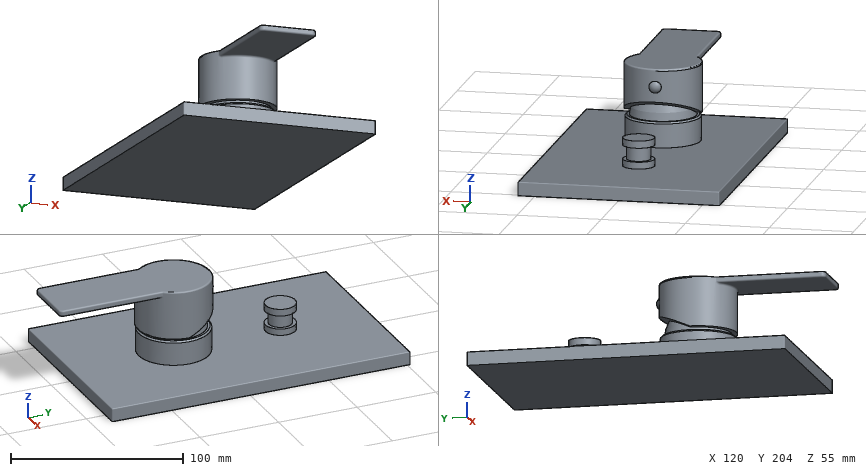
import cadquery as cq

OVERALL_LENGTH = 204.0
OVERALL_HEIGHT = 55.0

PLATE_WIDTH = 120.0
PLATE_LENGTH = 190.0
PLATE_THICKNESS = 8.2
PLATE_EDGE_RADIUS = 0.6

COLLAR_RADIUS = 22.2
COLLAR_TOP = 23.5
COLLAR_CHAMFER = 1.0

DOME_FOOT_RADIUS = 19.8
DOME_BELT_RADIUS = 19.0
DOME_BELT_HEIGHT = 28.2
DOME_TOP_RADIUS = 16.0

KNOB_Y = 68.0
KNOB_RADIUS = 9.4
KNOB_NECK_RADIUS = 7.1
KNOB_BASE_TOP = 12.2
KNOB_CAP_BOTTOM = 20.6
KNOB_TOP = 24.9

HANDLE_RADIUS = 22.8
HANDLE_BOTTOM = 25.3
HANDLE_REAR_BOTTOM = 35.5
HANDLE_EDGE_RADIUS = 1.0
LEVER_WIDTH = 35.0
LEVER_REACH = 80.0
LEVER_THICKNESS = 3.7
LEVER_CORNER_RADIUS = 2.7
LEVER_UNDER_RADIUS = 1.0
LEVER_ROOT_RADIUS = 1.2
SELECT_MARGIN = 0.2

BEAD_RADIUS = 4.0
BEAD_HEIGHT = 44.5
BEAD_PROTRUSION = 2.0

PLATE_REAR_Y = OVERALL_LENGTH - LEVER_REACH


def cylinder(radius, bottom, top, y=0.0):
    return cq.Workplane("XY", origin=(0, y, bottom)).circle(radius).extrude(top - bottom)


def make_plate():
    plate_center_y = PLATE_REAR_Y - PLATE_LENGTH / 2
    plate = (
        cq.Workplane("XY", origin=(0, plate_center_y, 0))
        .rect(PLATE_WIDTH, PLATE_LENGTH)
        .extrude(PLATE_THICKNESS)
    )
    return plate.edges("|Z or >Z").fillet(PLATE_EDGE_RADIUS)


def make_collar():
    collar = cylinder(COLLAR_RADIUS, PLATE_THICKNESS, COLLAR_TOP)
    return collar.faces(">Z").edges().chamfer(COLLAR_CHAMFER)


def make_dome():
    profile = [
        (0, COLLAR_TOP),
        (DOME_FOOT_RADIUS, COLLAR_TOP),
        (DOME_BELT_RADIUS, DOME_BELT_HEIGHT),
        (DOME_TOP_RADIUS, HANDLE_REAR_BOTTOM),
        (0, HANDLE_REAR_BOTTOM),
    ]
    return cq.Workplane("XZ").polyline(profile).close().revolve(360, (0, 0, 0), (0, 1, 0))


def make_knob():
    base = cylinder(KNOB_RADIUS, PLATE_THICKNESS, KNOB_BASE_TOP, KNOB_Y)
    neck = cylinder(KNOB_NECK_RADIUS, KNOB_BASE_TOP, KNOB_CAP_BOTTOM, KNOB_Y)
    cap = cylinder(KNOB_RADIUS, KNOB_CAP_BOTTOM, KNOB_TOP, KNOB_Y)
    return base.union(neck).union(cap)


def make_base():
    """Fixed body: plate with the collar, the dome and the diverter knob on it."""
    return make_plate().union(make_collar()).union(make_dome()).union(make_knob())


def make_lever():
    lever = (
        cq.Workplane("XY", origin=(0, -LEVER_REACH / 2, OVERALL_HEIGHT - LEVER_THICKNESS))
        .rect(LEVER_WIDTH, LEVER_REACH)
        .extrude(LEVER_THICKNESS)
    )
    lever = lever.edges("|Z and <Y").fillet(LEVER_CORNER_RADIUS)
    return lever.faces("<Z").edges("not >Y").fillet(LEVER_UNDER_RADIUS)


def make_rear_relief():
    """Wedge under the rear half of the drum that lets the handle tilt."""
    slope = (HANDLE_REAR_BOTTOM - HANDLE_BOTTOM) / HANDLE_RADIUS
    wedge_length = 2 * HANDLE_RADIUS
    wedge = [
        (0, HANDLE_BOTTOM),
        (wedge_length, HANDLE_BOTTOM),
        (wedge_length, HANDLE_BOTTOM + slope * wedge_length),
    ]
    return cq.Workplane("YZ").polyline(wedge).close().extrude(wedge_length, both=True)


def make_bead():
    bead_center_y = HANDLE_RADIUS + BEAD_PROTRUSION - BEAD_RADIUS
    return cq.Workplane("XY", origin=(0, bead_center_y, BEAD_HEIGHT)).sphere(BEAD_RADIUS)


def lever_root_selector():
    """Edges where the lever's sides and underside run into the drum."""
    root_inner = (-LEVER_WIDTH, -HANDLE_RADIUS / 2, OVERALL_HEIGHT - SELECT_MARGIN)
    root_outer = (
        LEVER_WIDTH,
        -HANDLE_RADIUS - SELECT_MARGIN,
        OVERALL_HEIGHT - LEVER_THICKNESS - SELECT_MARGIN,
    )
    return cq.selectors.BoxSelector(root_inner, root_outer)


def make_handle():
    """Moving body: drum with lever and index bead, seated over the dome."""
    drum = cylinder(HANDLE_RADIUS, HANDLE_BOTTOM, OVERALL_HEIGHT)
    handle = drum.union(make_lever())
    handle = handle.edges(lever_root_selector()).fillet(LEVER_ROOT_RADIUS)
    handle = handle.faces(">Z").edges().fillet(HANDLE_EDGE_RADIUS)
    return handle.cut(make_rear_relief()).union(make_bead()).cut(make_dome())


base = make_base()
handle = make_handle()

result = cq.Compound.makeCompound([base.val(), handle.val()])